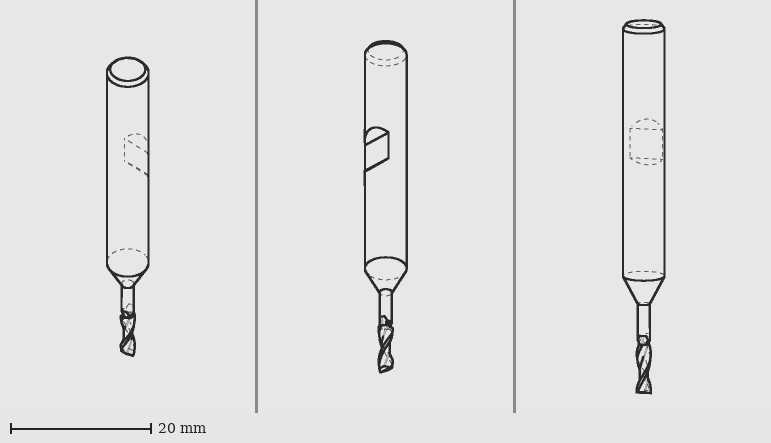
import cadquery as cq
import math

total_length = 54.0
cutter_length = 7.2
step_end_z = 7.55
neck_start_z = 7.8
flute_end_z = 8.55
cone_start_z = 13.05
cone_end_z = 17.1

shank_radius = 6.0 / 2
neck_radius = 1.8 / 2
step_radius = 0.75
top_chamfer_height = 0.7
top_chamfer_width = 0.5

flat_center_z = 36.05
flat_length = 4.3
flat_depth = 1.2

cutter_radius = 2.05 / 2
core_radius = 0.6
land_angle = 30.0
land_relief = 0.1
floor_start_angle = 95.0
floor_end_angle = 115.0
helix_pitch = 10.8
end_relief_height = 0.25

runout_direction = 270.0


def polar_point(radius, angle):
    turn = math.radians(angle)
    return (radius * math.cos(turn), radius * math.sin(turn))


def fluted_section(z, outer, core, rotation=0.0):
    """Two opposite lands joined by flutes with flat flanks and a round floor."""
    heel = outer - land_relief

    def point(radius, angle):
        return polar_point(radius, angle + rotation)

    section = cq.Workplane("XY", origin=(0, 0, z)).moveTo(*point(outer, 0))
    for start in (0, 180):
        section = section.threePointArc(
            point(outer - land_relief / 2, start + land_angle / 2), point(heel, start + land_angle)
        )
        floor_start = start + floor_start_angle
        floor_end = start + floor_end_angle
        section = section.lineTo(*point(core, floor_start))
        section = section.threePointArc(
            point(core, (floor_start + floor_end) / 2), point(core, floor_end)
        )
        section = section.lineTo(*point(outer, start + 180))
    return section.close()


def make_cutter():
    """Twisted blade whose end rises on both sides of the cutting edge."""
    twist = 360 * cutter_length / helix_pitch
    blade = fluted_section(0, cutter_radius, core_radius).twistExtrude(cutter_length, twist)
    for side in (1, -1):
        relief = (
            cq.Workplane("YZ")
            .polyline([
                (0, 0),
                (side * core_radius * 2, end_relief_height * 2),
                (side * core_radius * 2, 0),
            ])
            .close()
            .extrude(cutter_radius * 2, both=True)
        )
        blade = blade.cut(relief)
    return blade


def make_flute_runout():
    """Flared fluted shape that lets the flutes fade out into the neck."""
    flare = neck_radius / core_radius
    rotation = runout_direction - (floor_start_angle + floor_end_angle) / 2
    lower = fluted_section(cutter_length, cutter_radius, core_radius, rotation).wires().val()
    upper = fluted_section(flute_end_z, cutter_radius * flare, neck_radius, rotation).wires().val()
    return cq.Workplane(cq.Solid.makeLoft([lower, upper], True))


def make_shank():
    """Turned shank with its neck, flute runout and clamping flat."""
    profile = [
        (0, cutter_length),
        (step_radius, cutter_length),
        (step_radius, step_end_z),
        (neck_radius, neck_start_z),
        (neck_radius, cone_start_z),
        (shank_radius, cone_end_z),
        (shank_radius, total_length - top_chamfer_height),
        (shank_radius - top_chamfer_width, total_length),
        (0, total_length),
    ]
    turned = cq.Workplane("XZ").polyline(profile).close().revolve(360, (0, 0), (0, 1))

    runout_height = flute_end_z - cutter_length
    runout_blank = (
        cq.Workplane("XY", origin=(0, 0, cutter_length)).circle(shank_radius).extrude(runout_height)
    )
    turned = turned.cut(runout_blank.cut(make_flute_runout()))

    half_flat = flat_length / 2
    half_mouth = half_flat + flat_depth
    flat = (
        cq.Workplane("YZ")
        .polyline([
            (shank_radius - flat_depth, flat_center_z - half_flat),
            (shank_radius, flat_center_z - half_mouth),
            (shank_radius, flat_center_z + half_mouth),
            (shank_radius - flat_depth, flat_center_z + half_flat),
        ])
        .close()
        .extrude(shank_radius, both=True)
    )
    return turned.cut(flat)


shank = make_shank()
cutter = make_cutter()
result = cq.Compound.makeCompound([*shank.solids().vals(), *cutter.solids().vals()])